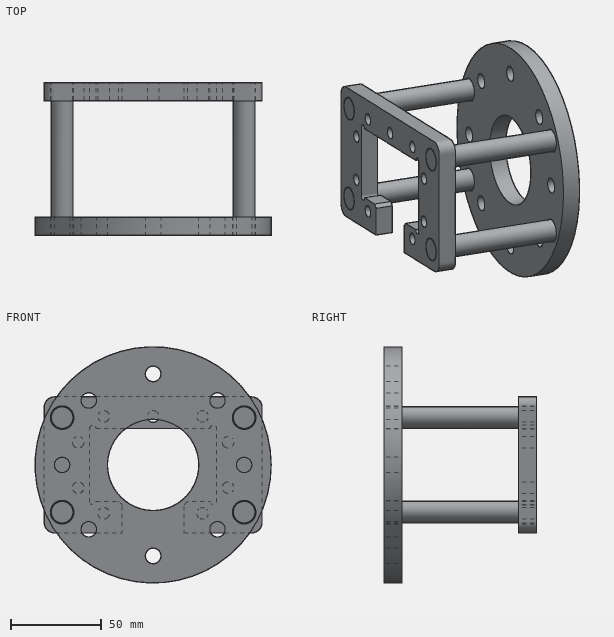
import cadquery as cq

flange_diameter = 130.0
plate_thickness = 10.0
flange_bore_diameter = 50.0
flange_hole_diameter = 8.5
flange_hole_count = 8
flange_hole_circle_diameter = 100.1

overall_depth = 84.0
post_diameter = 12.1
post_hole_diameter = 12.7
post_spacing_x = 100.1
post_spacing_z = 52.0

bracket_width = 120.0
bracket_height = 75.0
bracket_corner_radius = 6.0
window_width = 70.0
window_height = 40.0
opening_width = 34.0
prong_chamfer = 2.0
relief_radius = 1.8
bracket_hole_diameter = 6.4
row_hole_x = 27.2
row_hole_z = 26.6
side_hole_x = 41.2
side_hole_z = 12.5

bracket_front_y = overall_depth - plate_thickness
corner_search_margin = 1.3


def plane_at(y):
    """XZ sketch plane at the given Y; extrusion runs toward +Y and local y points to -Z."""
    return cq.Workplane(cq.Plane(origin=(0, y, 0), xDir=(1, 0, 0), normal=(0, 1, 0)))


def corner_points(spacing_x, spacing_z):
    """Four points mirrored about both axes."""
    return [(sx * spacing_x / 2, sz * spacing_z / 2) for sx in (-1, 1) for sz in (-1, 1)]


post_points = corner_points(post_spacing_x, post_spacing_z)


def cylinders(y, points, diameter, length):
    return plane_at(y).pushPoints(points).circle(diameter / 2).extrude(length)


def make_flange():
    disc = plane_at(0).circle(flange_diameter / 2).circle(flange_bore_diameter / 2).extrude(plate_thickness)
    bolt_holes = (
        plane_at(0)
        .polarArray(flange_hole_circle_diameter / 2, 0, 360, flange_hole_count)
        .circle(flange_hole_diameter / 2)
        .extrude(plate_thickness)
    )
    post_holes = cylinders(0, post_points, post_hole_diameter, plate_thickness)
    return disc.cut(bolt_holes).cut(post_holes)


def bracket_window():
    """Window, corner reliefs and the opening between the two lower prongs."""
    window = plane_at(bracket_front_y).rect(window_width, window_height).extrude(plate_thickness)
    relief_points = corner_points(window_width - 2 * relief_radius, window_height)
    reliefs = cylinders(bracket_front_y, relief_points, 2 * relief_radius, plate_thickness)
    opening = (
        plane_at(bracket_front_y)
        .center(0, bracket_height / 4)
        .rect(opening_width, bracket_height / 2)
        .extrude(plate_thickness)
    )
    return window.union(reliefs).union(opening)


def make_bracket():
    blank = (
        plane_at(bracket_front_y)
        .rect(bracket_width, bracket_height)
        .extrude(plate_thickness)
        .edges("|Y")
        .fillet(bracket_corner_radius)
    )
    row_points = corner_points(2 * row_hole_x, 2 * row_hole_z)
    top_middle_point = (0, -row_hole_z)
    side_points = corner_points(2 * side_hole_x, 2 * side_hole_z)
    screw_points = row_points + [top_middle_point] + side_points
    screw_holes = cylinders(bracket_front_y, screw_points, bracket_hole_diameter, plate_thickness)
    bracket = blank.cut(bracket_window())
    prong_corners = cq.selectors.BoxSelector(
        (-opening_width / 2 - corner_search_margin, bracket_front_y, -window_height / 2 - corner_search_margin),
        (opening_width / 2 + corner_search_margin, overall_depth, -window_height / 2 + corner_search_margin),
    )
    bracket = bracket.edges("|Y").edges(prong_corners).chamfer(prong_chamfer)
    post_holes = cylinders(bracket_front_y, post_points, post_hole_diameter, plate_thickness)
    return bracket.cut(screw_holes).cut(post_holes)


def make_post(x, z):
    """Post running through both plates, its ends flush with their outer faces."""
    return plane_at(0).center(x, z).circle(post_diameter / 2).extrude(overall_depth)


flange = make_flange()
bracket = make_bracket()
posts = [make_post(x, z) for x, z in post_points]

result = cq.Compound.makeCompound([flange.val(), bracket.val(), *[post.val() for post in posts]])